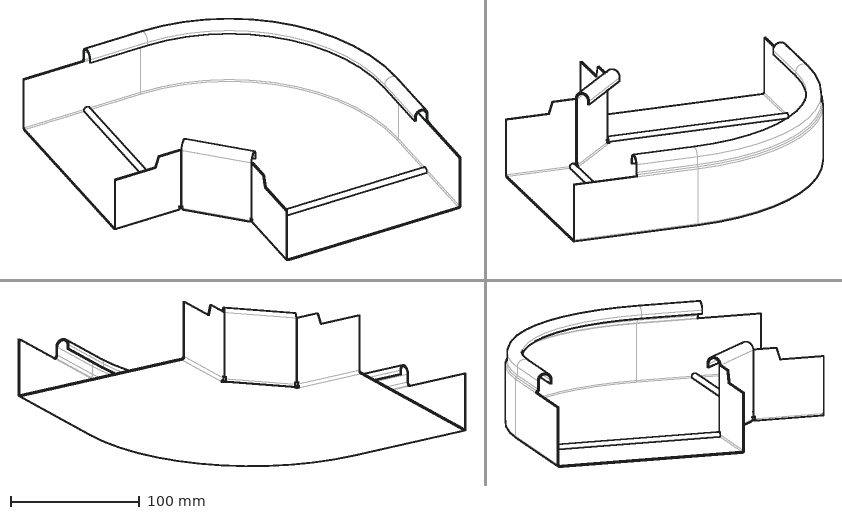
import cadquery as cq
import math

OVERALL = 251.4
TOTAL_HEIGHT = 63.0
SHEET = 1.3
FOLD_RADIUS = 2.3
BEND_RADIUS = 149.3
TRAY_WIDTH = 153.3

WALL_HEIGHT = 47.8
LIP_INSET = 1.5
STEP_HEIGHT = 3.0
LIP_LENGTH = 50.0
CURL_RADIUS = 5.8
CURL_DROP = 3.3

CORNER_REACH = 193.5
CORNER_GAP = 0.5
TAB_LENGTH = 18.9
TAB_TAPER = 3.0
RELIEF_RADIUS = 1.8
RELIEF_HEIGHT = 3.8

BEAD_WIDTH = 5.3
BEAD_FOOT = 0.8

LEG_LENGTH = OVERALL - BEND_RADIUS
INNER_FACE = TRAY_WIDTH - BEND_RADIUS
CORNER = CORNER_REACH - BEND_RADIUS
CURL_BASE = TOTAL_HEIGHT - CURL_RADIUS
FOLD_INNER = FOLD_RADIUS - SHEET
FLOOR_RIM = BEND_RADIUS - FOLD_RADIUS
BEAD_OFFSET = LIP_LENGTH - BEAD_WIDTH / 2
DIAGONAL_LENGTH = math.sqrt(2) * (CORNER - INNER_FACE)
ROOT_HALF = math.sqrt(0.5)
QUARTER_TURN = 90
DIAGONAL_INWARD = (-ROOT_HALF, ROOT_HALF, 0)
SYMMETRY_NORMAL = (1, 1, 0)


def section_plane(start, inward):
    """Upright plane with local x pointing into the tray and local y pointing up."""
    inward = cq.Vector(*inward)
    return cq.Workplane(cq.Plane(start, inward, inward.cross(cq.Vector(0, 0, 1))))


def folded_wall(plane, height):
    """Section of the quarter-round fold and the wall standing on it."""
    mid = FOLD_RADIUS * (1 - ROOT_HALF)
    inner_mid = FOLD_RADIUS - FOLD_INNER * ROOT_HALF
    return (
        plane.moveTo(FOLD_RADIUS, 0)
        .threePointArc((mid, mid), (0, FOLD_RADIUS))
        .lineTo(0, height)
        .lineTo(SHEET, height)
        .lineTo(SHEET, FOLD_RADIUS)
        .threePointArc((inner_mid, inner_mid), (FOLD_RADIUS, SHEET))
        .close()
    )


def add_curl(outline, inset):
    """Go up the outer face, round the curl and back to the inner face at the curl base."""
    far = inset + 2 * CURL_RADIUS
    middle = inset + CURL_RADIUS
    edge = CURL_BASE - CURL_DROP
    return (
        outline.lineTo(inset, CURL_BASE)
        .threePointArc((middle, TOTAL_HEIGHT), (far, CURL_BASE))
        .lineTo(far, edge)
        .lineTo(far - SHEET, edge)
        .lineTo(far - SHEET, CURL_BASE)
        .threePointArc((middle, TOTAL_HEIGHT - SHEET), (inset + SHEET, CURL_BASE))
    )


def stepped_lip(plane):
    """Section of the S-shaped step (two equal tangent arcs), the inset lip and its curl."""
    top = WALL_HEIGHT + STEP_HEIGHT
    lean = 2 * math.atan2(LIP_INSET, STEP_HEIGHT)
    radius = STEP_HEIGHT / (2 * math.sin(lean))
    middle = (LIP_INSET / 2, WALL_HEIGHT + STEP_HEIGHT / 2)
    inner_middle = (middle[0] + SHEET * math.cos(lean), middle[1] - SHEET * math.sin(lean))
    outer_side = (
        plane.moveTo(0, WALL_HEIGHT)
        .radiusArc(middle, radius)
        .radiusArc((LIP_INSET, top), -radius)
    )
    return (
        add_curl(outer_side, LIP_INSET)
        .lineTo(LIP_INSET + SHEET, top)
        .radiusArc(inner_middle, radius + SHEET)
        .radiusArc((SHEET, WALL_HEIGHT), -(radius - SHEET))
        .close()
    )


def floor():
    """Flat floor between the fold lines, with its outer corner rounded."""
    inner_fold = INNER_FACE - FOLD_RADIUS
    cut = CORNER + FOLD_RADIUS * (math.sqrt(2) - 1)
    return (
        cq.Workplane("XY")
        .moveTo(-FLOOR_RIM, -LEG_LENGTH)
        .lineTo(-FLOOR_RIM, 0)
        .threePointArc((-FLOOR_RIM * ROOT_HALF, FLOOR_RIM * ROOT_HALF), (0, FLOOR_RIM))
        .lineTo(LEG_LENGTH, FLOOR_RIM)
        .lineTo(LEG_LENGTH, -inner_fold)
        .lineTo(cut, -inner_fold)
        .lineTo(inner_fold, -cut)
        .lineTo(inner_fold, -LEG_LENGTH)
        .close()
        .extrude(SHEET)
    )


def outer_band(section, leg_length):
    """Carry a section along the left leg, round the curved wall and along the back leg."""
    start = (-BEND_RADIUS, 0, 0)
    curve = section(section_plane(start, (1, 0, 0))).revolve(
        QUARTER_TURN, (BEND_RADIUS, 0), (BEND_RADIUS, -1)
    )
    left = section(section_plane(start, (1, 0, 0))).extrude(leg_length)
    return left.union(curve).union(left.mirror(SYMMETRY_NORMAL))


def diagonal_flange():
    """Fold, wall and curl across the inside corner."""
    plane = section_plane((INNER_FACE, -CORNER, 0), DIAGONAL_INWARD)
    fold = folded_wall(plane, CURL_BASE - CURL_DROP).extrude(DIAGONAL_LENGTH)
    start = plane.moveTo(SHEET, CURL_BASE - CURL_DROP).lineTo(0, CURL_BASE - CURL_DROP)
    return fold.union(add_curl(start, 0).close().extrude(DIAGONAL_LENGTH))


def inner_leg():
    """Low wall of the left leg's inner side with the full-height tab next to the diagonal."""
    start = CORNER + CORNER_GAP
    plane = section_plane((INNER_FACE, -LEG_LENGTH, 0), (-1, 0, 0))
    wall = folded_wall(plane, WALL_HEIGHT).extrude(LEG_LENGTH - start)
    tab = (
        cq.Workplane("YZ", origin=(INNER_FACE, 0, 0))
        .moveTo(-start, FOLD_RADIUS)
        .lineTo(-start, CURL_BASE)
        .lineTo(-start - TAB_LENGTH, CURL_BASE)
        .lineTo(-start - TAB_LENGTH - TAB_TAPER, WALL_HEIGHT)
        .lineTo(-start - TAB_LENGTH - TAB_TAPER, FOLD_RADIUS)
        .close()
        .extrude(-SHEET)
    )
    return wall.union(tab)


def corner_relief():
    """Small round clearance where the left leg's fold meets the diagonal's fold."""
    return (
        cq.Workplane("XY")
        .center(INNER_FACE - RELIEF_RADIUS / 2, -CORNER)
        .circle(RELIEF_RADIUS)
        .extrude(RELIEF_HEIGHT)
    )


def tray():
    """The folded sheet: floor, outer wall with curled lip, and inner walls."""
    leg = inner_leg()
    relief = corner_relief()
    return (
        floor()
        .union(outer_band(lambda plane: folded_wall(plane, WALL_HEIGHT), LEG_LENGTH))
        .union(outer_band(stepped_lip, LIP_LENGTH))
        .union(diagonal_flange())
        .union(leg)
        .union(leg.mirror(SYMMETRY_NORMAL))
        .cut(relief)
        .cut(relief.mirror(SYMMETRY_NORMAL))
    )


def bead(start, along):
    """Arched bar lying across the floor of one leg, from fold line to fold line."""
    half = BEAD_WIDTH / 2
    plane = cq.Workplane(cq.Plane(start, cq.Vector(0, 0, 1).cross(cq.Vector(*along)), along))
    return (
        plane.moveTo(-half, 0)
        .lineTo(-half, BEAD_FOOT)
        .threePointArc((0, BEAD_FOOT + half), (half, BEAD_FOOT))
        .lineTo(half, 0)
        .close()
        .extrude(TRAY_WIDTH - 2 * FOLD_RADIUS)
    )


BEAD_PLACES = [
    ((-FLOOR_RIM, -BEAD_OFFSET, SHEET), (1, 0, 0)),
    ((BEAD_OFFSET, FLOOR_RIM, SHEET), (0, -1, 0)),
]
beads = [bead(start, along).val() for start, along in BEAD_PLACES]
result = cq.Compound.makeCompound([tray().val(), *beads])